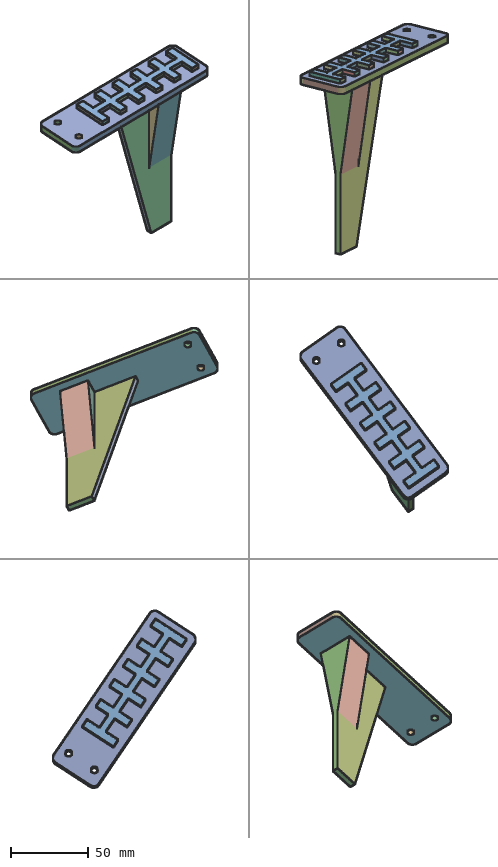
import cadquery as cq

overall_height = 128.0

plate_width = 35.0
plate_length = 120.0
plate_thickness = 5.0
corner_radius = 4.0

pattern_height = 3.0
bar_count = 6
bar_length = 24.3
bar_width = 5.6
bar_pitch = 16.0
spine_width = 5.0
pattern_margin = 5.4

hole_diameter = 4.4
hole_spacing = 20.0
hole_edge_distance = 10.0

fin_depth = overall_height - plate_thickness - pattern_height
fin_thickness = 4.0
fin_top_length = 49.3
fin_tip_length = 18.0
fin_setback = 19.7
wedge_top_width = 24.0
wedge_length = 20.0
wedge_depth = 65.0

back_y = plate_length / 2
fin_back_y = back_y - fin_setback


def make_plate():
    plate = cq.Workplane("XY").box(
        plate_width, plate_length, plate_thickness, centered=(True, True, False)
    )
    plate = plate.edges("|Z").fillet(corner_radius)
    hole_y = -back_y + hole_edge_distance
    return (
        plate.faces(">Z")
        .workplane(origin=(0, 0, plate_thickness))
        .pushPoints([(-hole_spacing / 2, hole_y), (hole_spacing / 2, hole_y)])
        .hole(hole_diameter)
    )


def make_pattern():
    pattern_length = (bar_count - 1) * bar_pitch + bar_width
    pattern_back_y = back_y - pattern_margin
    first_bar_y = pattern_back_y - bar_width / 2
    bar_centres = [(0, first_bar_y - i * bar_pitch) for i in range(bar_count)]
    top = cq.Workplane("XY", origin=(0, 0, plate_thickness))
    bars = top.pushPoints(bar_centres).rect(bar_length, bar_width).extrude(pattern_height)
    spine = (
        top.center(0, pattern_back_y - pattern_length / 2)
        .rect(spine_width, pattern_length)
        .extrude(pattern_height)
    )
    return bars.union(spine)


def make_fin():
    profile = [
        (fin_back_y, 0),
        (fin_back_y, -fin_depth),
        (fin_back_y - fin_tip_length, -fin_depth),
        (fin_back_y - fin_top_length, 0),
    ]
    return cq.Workplane("YZ").polyline(profile).close().extrude(fin_thickness / 2, both=True)


def make_wedge():
    profile = [
        (-wedge_top_width / 2, 0),
        (wedge_top_width / 2, 0),
        (fin_thickness / 2, -wedge_depth),
        (-fin_thickness / 2, -wedge_depth),
    ]
    back_plane = cq.Workplane("XZ", origin=(0, fin_back_y, 0))
    return back_plane.polyline(profile).close().extrude(wedge_length)


result = make_plate().union(make_pattern()).union(make_fin()).union(make_wedge())